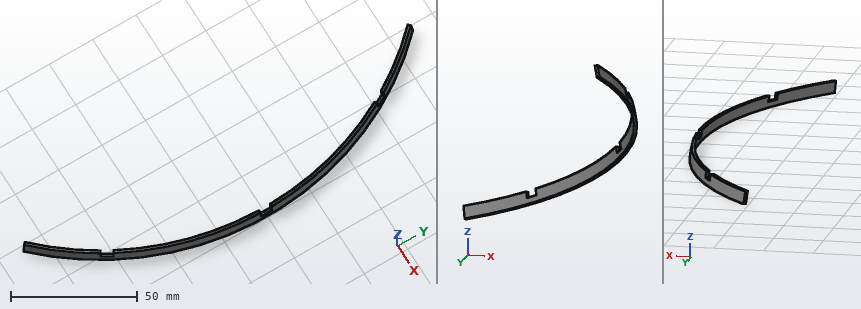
import cadquery as cq
import math

chord = 179.5
sweep = 90.0
height = 5.0
wall = 1.3
lean = 0.9
notch_width = 5.0
notch_depth = height / 2
notch_angles = (-30, 0, 30)

outer_radius = chord / 2 / math.sin(math.radians(sweep / 2))
inner_radius = outer_radius - wall


def conical_band():
    """Revolve the leaning wall section about Z, symmetrically about +X."""
    section = [
        (inner_radius, 0),
        (outer_radius, 0),
        (outer_radius - lean, height),
        (inner_radius - lean, height),
    ]
    band = (
        cq.Workplane("XZ")
        .polyline(section)
        .close()
        .revolve(sweep, (0, 0, 0), (0, 1, 0))
    )
    middle = band.val().Center()
    return band.rotate((0, 0, 0), (0, 0, 1), -math.degrees(math.atan2(middle.y, middle.x)))


def notch(angle):
    """Rectangular cutter across the top edge at the given angle from +X."""
    radial_length = 4 * (wall + lean)
    return (
        cq.Workplane("XY")
        .box(radial_length, notch_width, 2 * notch_depth)
        .translate((outer_radius, 0, height))
        .rotate((0, 0, 0), (0, 0, 1), angle)
    )


result = conical_band()
for notch_angle in notch_angles:
    result = result.cut(notch(notch_angle))